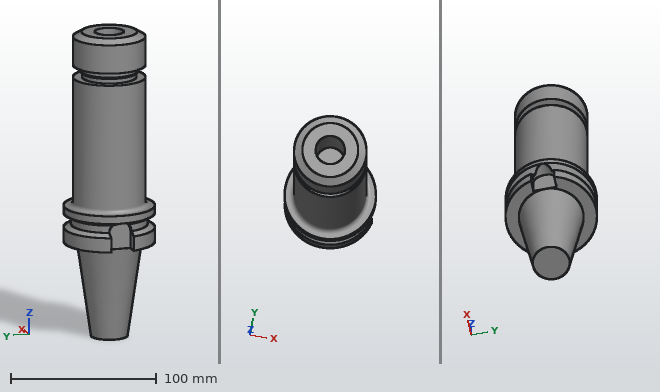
import cadquery as cq

shank_length = 65.5
tip_radius = 12.7
taper_ratio = 7 / 24
shank_radius = tip_radius + shank_length * taper_ratio / 2

flange_radius = 31.5
flange_bottom = 66.8
flange_top = 92.5
groove_center = 81.95
groove_mouth = 10.1
groove_floor_width = 5.2
groove_radius = 26.5

slot_width = 16.2
slot_floor = 22.5
slot_top = groove_center + groove_mouth / 2

body_radius = 25.0
body_top = 183.3
body_fillet = 3.0
neck_radius = 18.7
neck_top = 186.5
collar_radius = 20.0
collar_chamfer = collar_radius - neck_radius
nut_bottom = 192.0
nut_top_radius = 19.2
nut_chamfer_height = 3.5
total_height = 215.5

bore_radius = 10.02
bore_depth = total_height - body_top


def turned_body():
    """Revolve the half profile of the whole holder about Z."""
    half_mouth = groove_mouth / 2
    half_floor = groove_floor_width / 2
    profile = (
        cq.Workplane("XZ")
        .lineTo(tip_radius, 0)
        .lineTo(shank_radius, shank_length)
        .lineTo(shank_radius, flange_bottom)
        .lineTo(flange_radius, flange_bottom)
        .lineTo(flange_radius, groove_center - half_mouth)
        .lineTo(groove_radius, groove_center - half_floor)
        .lineTo(groove_radius, groove_center + half_floor)
        .lineTo(flange_radius, groove_center + half_mouth)
        .lineTo(flange_radius, flange_top)
        .lineTo(body_radius + body_fillet, flange_top)
        .radiusArc((body_radius, flange_top + body_fillet), body_fillet)
        .lineTo(body_radius, body_top)
        .lineTo(neck_radius, body_top)
        .lineTo(neck_radius, neck_top)
        .lineTo(collar_radius, neck_top + collar_chamfer)
        .lineTo(collar_radius, nut_bottom)
        .lineTo(body_radius, nut_bottom)
        .lineTo(body_radius, total_height - nut_chamfer_height)
        .lineTo(nut_top_radius, total_height)
        .lineTo(0, total_height)
        .close()
    )
    return profile.revolve(360, (0, 0, 0), (0, 1, 0))


def drive_slot(side):
    """Round-topped cutter, open at the flange bottom, on the +X (1) or -X (-1) side."""
    half_width = slot_width / 2
    return (
        cq.Workplane("YZ", origin=(side * slot_floor, 0, 0))
        .moveTo(-half_width, flange_bottom)
        .lineTo(half_width, flange_bottom)
        .lineTo(half_width, slot_top - half_width)
        .threePointArc((0, slot_top), (-half_width, slot_top - half_width))
        .close()
        .extrude(side * flange_radius)
    )


result = turned_body()
for side in (-1, 1):
    result = result.cut(drive_slot(side))
result = result.faces(">Z").workplane().circle(bore_radius).cutBlind(-bore_depth)